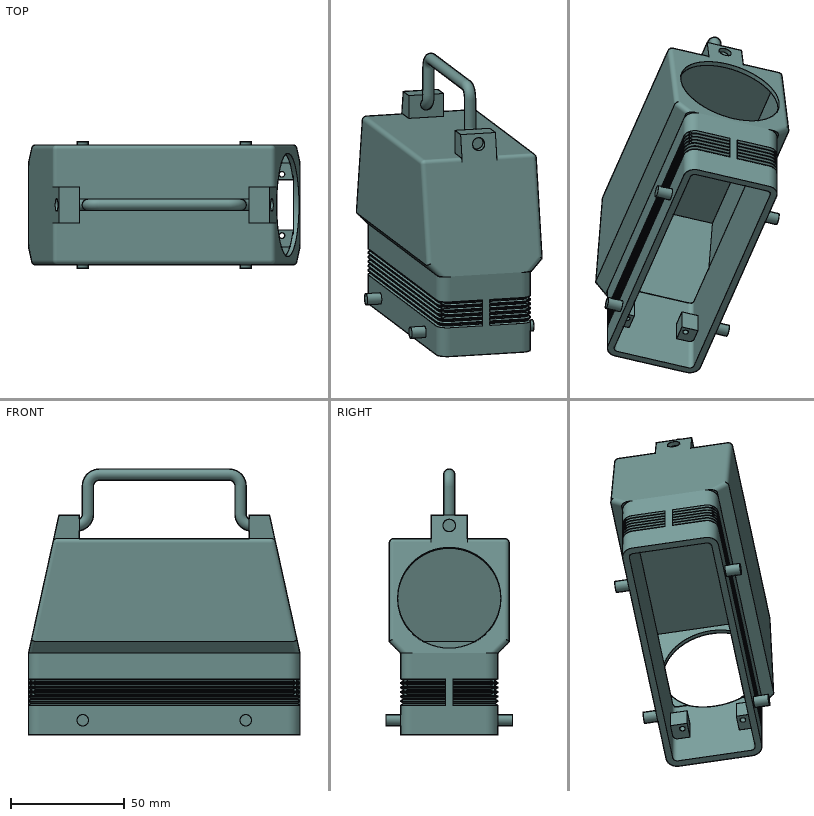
import cadquery as cq
import math

base_length = 120.0
base_width = 43.0
base_height = 36.1
base_corner_radius = 5.0
base_wall = 3.0

hood_width = 53.0
hood_top = 86.8
hood_edge_radius = 2.0
hood_wall = 2.0

lug_top = 97.1
lug_inner_x = 37.5
lug_width = 16.0
lug_top_outer_x = 46.5
pin_hole_diameter = 5.5

handle_top = 117.5
rod_diameter = 5.0
bend_radius = 5.0
handle_leg_x = 33.7
handle_pin_z = 92.5
handle_end_x = 44.8

peg_diameter = 5.0
peg_x = 36.0
peg_z = 6.5
peg_span = 56.0

groove_count = 6
groove_width = 1.7
groove_floor_width = 0.5
groove_depth = 1.0
ridge_width = 0.32
groove_bottom = 13.1
groove_gap = 3.4

cable_hole_diameter = 45.6
cable_hole_z = 60.6

screw_x = 52.0
screw_y = 13.5
screw_hole_diameter = 2.4
post_margin = 2.5
post_bottom = 16.8
post_top = 26.4

half_length = base_length / 2
half_base_width = base_width / 2
half_hood_width = hood_width / 2
flare_top = base_height + half_hood_width - half_base_width
end_taper = (half_length - lug_top_outer_x) / (lug_top - base_height)


def end_x(z):
    """Half length of the tapered hood at height z."""
    return half_length - end_taper * (z - base_height)


def base_slab(bottom, height, taper=0, inset=0):
    """Slab with the base outline moved inward by inset; a negative height builds downward."""
    outline = cq.Sketch().rect(base_length - 2 * inset, base_width - 2 * inset)
    outline = outline.vertices().fillet(base_corner_radius - inset)
    return cq.Workplane("XY", origin=(0, 0, bottom)).placeSketch(outline).extrude(height, taper=taper)


def tapered_block(bottom, top, width, end_wall=0.0):
    """Block whose ends run parallel to the hood ends, end_wall inside them measured square to the end."""
    inset = end_wall * math.hypot(1, end_taper)
    bottom_x = end_x(bottom) - inset
    top_x = end_x(top) - inset
    outline = [(-bottom_x, bottom), (bottom_x, bottom), (top_x, top), (-top_x, top)]
    return cq.Workplane("XZ").polyline(outline).close().extrude(width / 2, both=True)


def make_hood():
    flared_section = [
        (-half_base_width, base_height),
        (half_base_width, base_height),
        (half_hood_width, flare_top),
        (half_hood_width, hood_top),
        (-half_hood_width, hood_top),
        (-half_hood_width, flare_top),
    ]
    flared_bar = cq.Workplane("YZ").polyline(flared_section).close().extrude(half_length, both=True)
    hood = flared_bar.intersect(tapered_block(base_height, hood_top, hood_width))
    rim_and_ends = hood.faces(">Z or <X or >X").edges("not <Z")
    return rim_and_ends.fillet(hood_edge_radius)


def make_lug(side):
    """Lug flush with the sloping end on the given side (-1 or 1), rooted in the hood roof."""
    root_z = hood_top - hood_wall
    outline = [
        (side * lug_inner_x, root_z),
        (side * end_x(root_z), root_z),
        (side * lug_top_outer_x, lug_top),
        (side * lug_inner_x, lug_top),
    ]
    return cq.Workplane("XZ").polyline(outline).close().extrude(lug_width / 2, both=True)


def make_pin_hole(side):
    """Hole from the outer face of a lug inward to the end of the handle rod."""
    depth = half_length - handle_end_x
    rod_end = cq.Workplane("YZ", origin=(side * handle_end_x, 0, handle_pin_z))
    return rod_end.circle(pin_hole_diameter / 2).extrude(side * depth)


def make_handle():
    """Round rod: up from each lug, over a straight rail, with four equal bends."""
    rail_z = handle_top - rod_diameter / 2
    path = (
        cq.Workplane("XZ")
        .moveTo(-handle_end_x, handle_pin_z)
        .lineTo(-handle_leg_x - bend_radius, handle_pin_z)
        .tangentArcPoint((-handle_leg_x, handle_pin_z + bend_radius), relative=False)
        .lineTo(-handle_leg_x, rail_z - bend_radius)
        .tangentArcPoint((-handle_leg_x + bend_radius, rail_z), relative=False)
        .lineTo(handle_leg_x - bend_radius, rail_z)
        .tangentArcPoint((handle_leg_x, rail_z - bend_radius), relative=False)
        .lineTo(handle_leg_x, handle_pin_z + bend_radius)
        .tangentArcPoint((handle_leg_x + bend_radius, handle_pin_z), relative=False)
        .lineTo(handle_end_x, handle_pin_z)
    )
    rod_end = cq.Workplane("YZ", origin=(-handle_end_x, 0, handle_pin_z))
    return rod_end.circle(rod_diameter / 2).sweep(path)


def make_groove(bottom):
    """Trapezoidal ring around the base, left out at the middle of both ends."""
    flank_height = (groove_width - groove_floor_width) / 2
    flank_angle = math.degrees(math.atan2(groove_depth, flank_height))
    lower_flank = base_slab(bottom, flank_height, taper=flank_angle)
    upper_flank = base_slab(bottom + groove_width, -flank_height, taper=flank_angle)
    core = base_slab(bottom, groove_width, inset=groove_depth)
    ring = base_slab(bottom, groove_width).cut(lower_flank).cut(upper_flank).cut(core)
    gap = cq.Workplane("XY", origin=(0, 0, bottom)).box(
        base_length, groove_gap, groove_width, centered=(True, True, False)
    )
    return ring.cut(gap)


def make_screw_posts():
    """Four posts standing in the inner corners of the base, each drilled through."""
    post_inner_x = screw_x - post_margin
    post_inner_y = screw_y - post_margin
    post_length = half_length - base_wall / 2 - post_inner_x
    post_width = half_base_width - base_wall / 2 - post_inner_y
    post_x = post_inner_x + post_length / 2
    post_y = post_inner_y + post_width / 2
    post_height = post_top - post_bottom
    floor = cq.Workplane("XY", origin=(0, 0, post_bottom))
    posts = floor.rarray(2 * post_x, 2 * post_y, 2, 2).rect(post_length, post_width).extrude(post_height)
    holes = floor.rarray(2 * screw_x, 2 * screw_y, 2, 2).circle(screw_hole_diameter / 2).extrude(post_height)
    return posts.cut(holes)


def make_cable_hole():
    """Round hole square to the +X end, passing right through the end wall."""
    axis_inward = cq.Vector(-1, 0, -end_taper).normalized()
    face_center = cq.Vector(end_x(cable_hole_z), 0, cable_hole_z)
    overshoot = hood_wall
    start = face_center - axis_inward * overshoot
    length = hood_wall + 2 * overshoot
    hole = cq.Solid.makeCylinder(cable_hole_diameter / 2, length, start, axis_inward)
    return cq.Workplane(obj=hole)


def make_pegs():
    """Pegs on both long sides, made as rods that the base cavity later cuts in two."""
    return (
        cq.Workplane("XZ")
        .pushPoints([(-peg_x, peg_z), (peg_x, peg_z)])
        .circle(peg_diameter / 2)
        .extrude(peg_span / 2, both=True)
    )


def make_hood_cavity():
    cavity_width = hood_width - 2 * hood_wall
    return tapered_block(flare_top, hood_top - hood_wall, cavity_width, end_wall=hood_wall)


body = base_slab(0, base_height).union(make_hood())
for groove_index in range(groove_count):
    body = body.cut(make_groove(groove_bottom + groove_index * (groove_width + ridge_width)))
for side in (-1, 1):
    body = body.union(make_lug(side))
body = body.union(make_pegs())

body = body.cut(base_slab(0, flare_top, inset=base_wall)).cut(make_hood_cavity())
body = body.union(make_screw_posts())
body = body.cut(make_cable_hole())

body = body.union(make_handle())
for side in (-1, 1):
    body = body.cut(make_pin_hole(side))

result = body